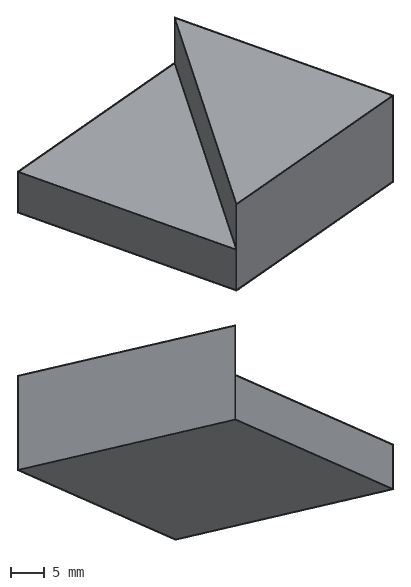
import cadquery as cq

side = 40.0
total_height = 14.8
base_height = 7.0

half = side / 2

base = cq.Workplane("XY").box(side, side, base_height, centered=(True, True, False))

step = (
    cq.Workplane("XY")
    .workplane(offset=base_height)
    .polyline([(-half, half), (half, -half), (half, half)])
    .close()
    .extrude(total_height - base_height)
)

result = base.union(step)